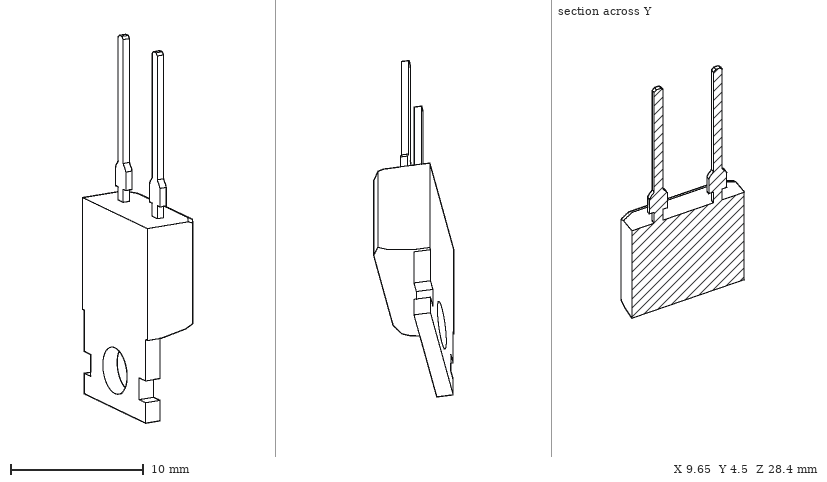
import cadquery as cq

body_width = 9.65
body_depth = 4.5
total_height = 28.38
body_bottom = 6.57
body_top = 15.38

tab_width = 9.16
tab_thickness = 1.27
hole_diameter = 3.6
hole_height = 2.98
notch_depth = 0.96
notch_bottom = 1.62
notch_top = 3.33

corner_width = 0.94
corner_depth = 0.5
underside_rise = 0.63
top_bevel_drop = 0.17
top_bevel_inset = 0.36
underside_bevel_rise = 0.2
underside_bevel_inset = 0.6

lead_pitch = 5.08
lead_thickness = 0.56
lead_center_depth = 2.27
lead_half_width = 0.39
shoulder_half_width = 0.78
shoulder_bottom = 1.02
shoulder_top = 2.48
taper_lower_half_width = 0.66
taper_lower_height = 2.72
taper_upper_half_width = 0.46
taper_upper_height = 2.93
taper_end_height = 3.06
tip_chamfer = 0.2


def make_tab():
    """Flat tab with a mounting hole and a square notch in each side."""
    tab = cq.Workplane("XY").box(tab_width, tab_thickness, body_bottom, centered=(True, False, False))
    hole = (
        cq.Workplane("XZ")
        .center(0, hole_height)
        .circle(hole_diameter / 2)
        .extrude(-tab_thickness)
    )
    tab = tab.cut(hole)
    notch_height = notch_top - notch_bottom
    notch_center_height = (notch_top + notch_bottom) / 2
    for side in (-1, 1):
        notch = (
            cq.Workplane("XZ")
            .center(side * (tab_width - notch_depth) / 2, notch_center_height)
            .rect(notch_depth, notch_height)
            .extrude(-tab_thickness)
        )
        tab = tab.cut(notch)
    return tab


def trim(solid, point, normal):
    """Remove everything beyond the plane through point, on the side that normal points to."""
    plane = cq.Plane(origin=point.toTuple(), normal=normal.toTuple())
    reach = 4 * total_height
    return solid.cut(cq.Workplane(plane).rect(reach, reach).extrude(reach))


def make_body():
    """Moulded block with cut back corners, a sloping underside and bevelled end edges."""
    half_width = body_width / 2
    corner_y = body_depth - corner_depth
    body = (
        cq.Workplane("XY")
        .workplane(offset=body_bottom)
        .moveTo(-half_width, 0)
        .lineTo(half_width, 0)
        .lineTo(half_width, corner_y)
        .lineTo(half_width - corner_width, body_depth)
        .lineTo(corner_width - half_width, body_depth)
        .lineTo(-half_width, corner_y)
        .close()
        .extrude(body_top - body_bottom)
    )

    slope = underside_rise / (body_depth - tab_thickness)
    underside_normal = cq.Vector(0, slope, -1).normalized()
    body = trim(body, cq.Vector(0, tab_thickness, body_bottom), underside_normal)

    walls = [
        (0, body_depth, cq.Vector(0, 1, 0)),
        (-half_width, corner_y, cq.Vector(-corner_depth, corner_width, 0).normalized()),
        (half_width, corner_y, cq.Vector(corner_depth, corner_width, 0).normalized()),
    ]
    for x, y, outward in walls:
        top_start = cq.Vector(x, y, body_top - top_bevel_drop)
        top_normal = outward * top_bevel_drop + cq.Vector(0, 0, 1) * top_bevel_inset
        body = trim(body, top_start, top_normal)

        underside_height = body_bottom + slope * (y - tab_thickness)
        underside_start = cq.Vector(x, y, underside_height + underside_bevel_rise)
        bevel_normal = outward * underside_bevel_rise + underside_normal * underside_bevel_inset
        body = trim(body, underside_start, bevel_normal)
    return body


def make_lead(center_x):
    """Flat lead with a wide faceted shoulder and a chamfered tip."""
    right_side = [
        (lead_half_width, body_top),
        (lead_half_width, body_top + shoulder_bottom),
        (shoulder_half_width, body_top + shoulder_bottom),
        (shoulder_half_width, body_top + shoulder_top),
        (taper_lower_half_width, body_top + taper_lower_height),
        (taper_upper_half_width, body_top + taper_upper_height),
        (lead_half_width, body_top + taper_end_height),
        (lead_half_width, total_height - tip_chamfer),
        (lead_half_width - tip_chamfer, total_height),
    ]
    left_side = [(-x, z) for x, z in reversed(right_side)]
    return (
        cq.Workplane("XZ")
        .polyline(right_side + left_side)
        .close()
        .extrude(lead_thickness / 2, both=True)
        .translate((center_x, lead_center_depth, 0))
    )


result = make_tab().union(make_body())
for side in (-1, 1):
    result = result.union(make_lead(side * lead_pitch / 2))